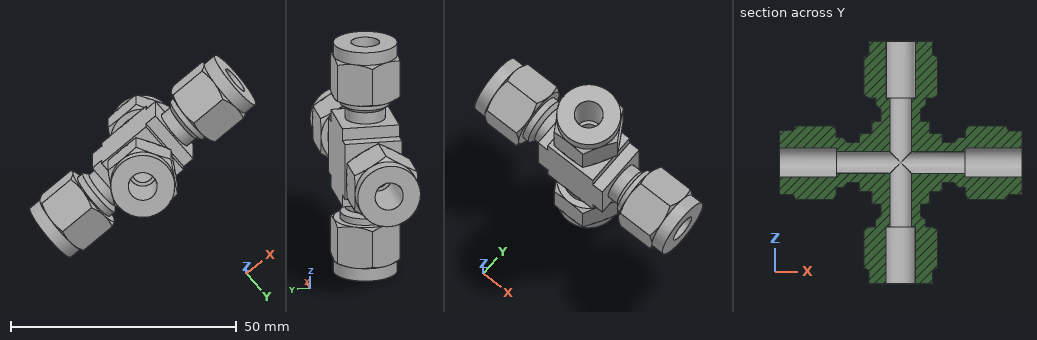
import cadquery as cq
import math

overall_length = 53.85
reach = overall_length / 2

block_length = 18.4
bar_width = 12.9
block_depth = 12.9

nut_sides = 6
nut_across_flats = 14.2
cap_radius = nut_across_flats / 2
cap_length = 2.95
nut_length = 9.7
nut_chamfer_angle = 30.0
collar_radius = 5.6
collar_length = 1.5
neck_radius = 4.45
cone_length = 0.9

through_bore_diameter = 4.75
tube_bore_diameter = 6.35

nut_top = reach - cap_length
nut_bottom = nut_top - nut_length
collar_bottom = nut_bottom - collar_length
cone_bottom = collar_bottom - cone_length
tube_bore_depth = cap_length + nut_length

nut_corner_radius = cap_radius / math.cos(math.pi / nut_sides)
nut_chamfer_drop = (nut_corner_radius - cap_radius) * math.tan(math.radians(nut_chamfer_angle))


def make_block():
    """Two crossed square bars, stepped at the four corners."""
    bar_x = cq.Workplane("XY").box(block_length, block_depth, bar_width)
    bar_z = cq.Workplane("XY").box(bar_width, block_depth, block_length)
    return bar_x.union(bar_z)


def make_nut():
    """Hexagon with flats facing +Y and -Y, its corners turned off conically at both ends."""
    hexagon = (
        cq.Workplane("XY")
        .workplane(offset=nut_bottom)
        .polygon(nut_sides, 2 * nut_corner_radius)
        .extrude(nut_length)
    )
    turned_envelope = (
        cq.Workplane("XZ")
        .moveTo(0, nut_bottom)
        .lineTo(cap_radius, nut_bottom)
        .lineTo(nut_corner_radius, nut_bottom + nut_chamfer_drop)
        .lineTo(nut_corner_radius, nut_top - nut_chamfer_drop)
        .lineTo(cap_radius, nut_top)
        .lineTo(0, nut_top)
        .close()
        .revolve(360, (0, 0, 0), (0, 1, 0))
    )
    return hexagon.intersect(turned_envelope)


def make_neck():
    """Neck rising from the block centre, flaring through a cone to the collar under the nut."""
    return (
        cq.Workplane("XZ")
        .lineTo(neck_radius, 0)
        .lineTo(neck_radius, cone_bottom)
        .lineTo(collar_radius, collar_bottom)
        .lineTo(collar_radius, nut_bottom)
        .lineTo(0, nut_bottom)
        .close()
        .revolve(360, (0, 0, 0), (0, 1, 0))
    )


def make_arm():
    """Solid arm pointing along +Z."""
    cap = cq.Workplane("XY").workplane(offset=nut_top).circle(cap_radius).extrude(cap_length)
    return make_neck().union(make_nut()).union(cap)


def make_arm_bore():
    """Through bore from the part centre, widened to the tube size over the cap and nut."""
    through_bore = cq.Workplane("XY").circle(through_bore_diameter / 2).extrude(reach)
    tube_bore = (
        cq.Workplane("XY")
        .workplane(offset=reach)
        .circle(tube_bore_diameter / 2)
        .extrude(-tube_bore_depth)
    )
    return through_bore.union(tube_bore)


def turn_about_y(shape, angle):
    return shape.rotate((0, 0, 0), (0, 1, 0), angle)


arm = make_arm()
arm_bore = make_arm_bore()
arm_angles = (0, 90, 180, 270)

result = make_block()
for angle in arm_angles:
    result = result.union(turn_about_y(arm, angle))
for angle in arm_angles:
    result = result.cut(turn_about_y(arm_bore, angle))